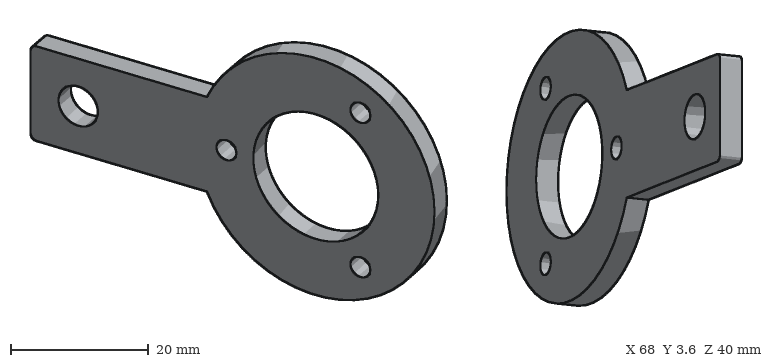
import cadquery as cq

total_length = 68.0
thickness = 3.6
ring_diameter = 40.0
bore_diameter = 21.0
arm_width = 16.0
arm_corner_radius = 1.0
arm_hole_diameter = 6.6
arm_hole_inset = 8.0
screw_hole_diameter = 3.3
screw_circle_radius = 15.0
screw_count = 3

arm_end_x = ring_diameter / 2 - total_length
arm_length = -arm_end_x
arm_hole_x = arm_end_x + arm_hole_inset


def front_plane():
    """XZ sketch plane on the front face; positive extrusion runs toward -Y."""
    return cq.Workplane("XZ", origin=(0, -thickness / 2, 0))


def make_plate():
    """Round head joined to a flat arm with rounded end corners."""
    head = front_plane().circle(ring_diameter / 2).extrude(-thickness)
    arm = (
        front_plane()
        .center(arm_end_x / 2, 0)
        .rect(arm_length, arm_width)
        .extrude(-thickness)
        .edges("|Y and <X")
        .fillet(arm_corner_radius)
    )
    return head.union(arm)


def make_holes():
    """Through-hole cutters: bore, arm hole and the screw circle."""
    bore = front_plane().circle(bore_diameter / 2).extrude(-thickness)
    arm_hole = (
        front_plane()
        .center(arm_hole_x, 0)
        .circle(arm_hole_diameter / 2)
        .extrude(-thickness)
    )
    screw_holes = (
        front_plane()
        .polarArray(screw_circle_radius, 180, 360, screw_count)
        .circle(screw_hole_diameter / 2)
        .extrude(-thickness)
    )
    return bore.union(arm_hole).union(screw_holes)


result = make_plate().cut(make_holes())